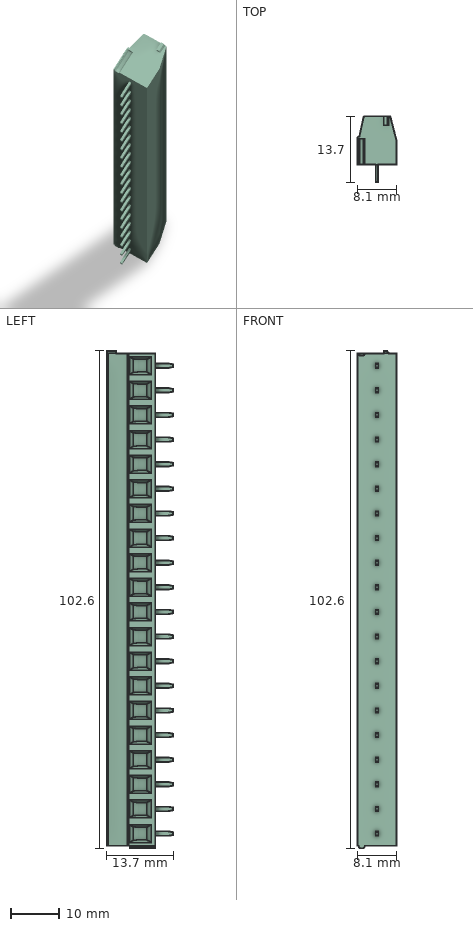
import cadquery as cq
import math

pole_count = 20
pole_pitch = 5.08
strip_height = pole_count * pole_pitch
overall_depth = 13.65
overall_height = 102.6

body_width = 8.1
body_depth = 10.0
entry_face_x = -body_width / 2
back_face_x = body_width / 2
ledge_y = 5.75
ledge_width = 0.4
bevel_length = 0.3
bevel_inset = 0.15
front_slope_angle = 12.1
back_slope_start_y = 5.0
back_slope_run = 1.3

entry_low_y = 0.8
entry_high_y = 5.3
entry_height = 3.7
entry_depth = 1.45
low_wall_angle = 56
high_wall_angle = 59
side_wall_angle = 69
floor_ramp_angle = 14.5
floor_ramp_width = 1.05
cutter_overrun = 0.5

pin_length = overall_depth - body_depth
pin_width = 1.0
pin_thickness = 0.5
pin_tip_width = 0.6
pin_tip_length = 1.0

rib_center_x = entry_face_x + 0.9
rib_width = 1.3
rib_bevel = 0.3
rib_height = 0.5
rib_length = 5.3

latch_x = entry_face_x + 5.5
latch_base_width = 1.0
latch_crest_width = 0.65
latch_height = overall_height - strip_height - rib_height
latch_length = 1.9


def wall_run(depth, angle):
    """Distance a funnel wall covers along the entry face while going down by the depth."""
    return depth / math.tan(math.radians(angle))


def slope_run(length, angle):
    """Sideways run of a line that leans by the angle over the given length."""
    return length * math.tan(math.radians(angle))


def make_housing():
    slope_x = entry_face_x + ledge_width
    top_left_x = slope_x + slope_run(body_depth - ledge_y, front_slope_angle)
    bevel_start_x = top_left_x - slope_run(bevel_length, front_slope_angle)
    outline = [
        (entry_face_x, 0),
        (back_face_x, 0),
        (back_face_x, back_slope_start_y),
        (back_face_x - back_slope_run, body_depth),
        (top_left_x + bevel_inset, body_depth),
        (bevel_start_x, body_depth - bevel_length),
        (slope_x, ledge_y),
        (entry_face_x + bevel_inset, ledge_y),
        (entry_face_x, ledge_y - bevel_length),
    ]
    return cq.Workplane("XY").polyline(outline).close().extrude(strip_height)


def make_entry_cutter():
    """Funnel centred on z = 0: a floor profile in XY limited by two walls that close in along Z."""
    floor_x = entry_face_x + entry_depth
    outside_x = entry_face_x - cutter_overrun
    ramp_drop = slope_run(floor_ramp_width, floor_ramp_angle)
    ramp_depth = entry_depth - ramp_drop
    ramp_high_y = entry_high_y - wall_run(ramp_depth, high_wall_angle)
    floor_low_y = entry_low_y + wall_run(entry_depth, low_wall_angle)
    floor_profile = [
        (outside_x, entry_low_y),
        (entry_face_x, entry_low_y),
        (floor_x, floor_low_y),
        (floor_x, ramp_high_y - floor_ramp_width),
        (entry_face_x + ramp_depth, ramp_high_y),
        (entry_face_x, entry_high_y),
        (outside_x, entry_high_y),
    ]
    floor_block = (
        cq.Workplane("XY").polyline(floor_profile).close().extrude(entry_height / 2, both=True)
    )

    mouth_z = entry_height / 2
    floor_z = mouth_z - wall_run(entry_depth, side_wall_angle)
    side_profile = [
        (outside_x, -mouth_z),
        (entry_face_x, -mouth_z),
        (floor_x, -floor_z),
        (floor_x, floor_z),
        (entry_face_x, mouth_z),
        (outside_x, mouth_z),
    ]
    side_block = cq.Workplane("XZ").polyline(side_profile).close().extrude(body_depth, both=True)
    return floor_block.intersect(side_block)


def make_pin():
    """Flat pin with a tapered tip, centred on z = 0 and rooted in the pin face."""
    shoulder_y = pin_tip_length - pin_length
    outline = [
        (0, pin_width / 2),
        (shoulder_y, pin_width / 2),
        (-pin_length, pin_tip_width / 2),
        (-pin_length, -pin_tip_width / 2),
        (shoulder_y, -pin_width / 2),
        (0, -pin_width / 2),
    ]
    return cq.Workplane("YZ").polyline(outline).close().extrude(pin_thickness / 2, both=True)


def make_rib(base_z):
    """Rib hanging below base_z with both lower corners bevelled, starting at the pin face."""
    side_x = rib_width / 2
    crest_x = side_x - rib_bevel
    bevel_z = base_z - rib_height + rib_bevel
    outline = [
        (-side_x, base_z),
        (side_x, base_z),
        (side_x, bevel_z),
        (crest_x, base_z - rib_height),
        (-crest_x, base_z - rib_height),
        (-side_x, bevel_z),
    ]
    start = cq.Workplane("XZ", origin=(rib_center_x, 0, 0))
    return start.polyline(outline).close().extrude(-rib_length)


def make_latch():
    """Latch on the top end, square on one side and sloped on the other."""
    outline = [
        (latch_x, strip_height),
        (latch_x + latch_base_width, strip_height),
        (latch_x + latch_crest_width, strip_height + latch_height),
        (latch_x, strip_height + latch_height),
    ]
    start = cq.Workplane("XZ", origin=(0, body_depth, 0))
    return start.polyline(outline).close().extrude(latch_length)


result = make_housing().cut(make_rib(strip_height)).union(make_rib(0)).union(make_latch())
entry_cutter = make_entry_cutter()
pin = make_pin()
for pole in range(pole_count):
    pole_z = (pole + 0.5) * pole_pitch
    result = result.cut(entry_cutter.translate((0, 0, pole_z)))
    result = result.union(pin.translate((0, 0, pole_z)))